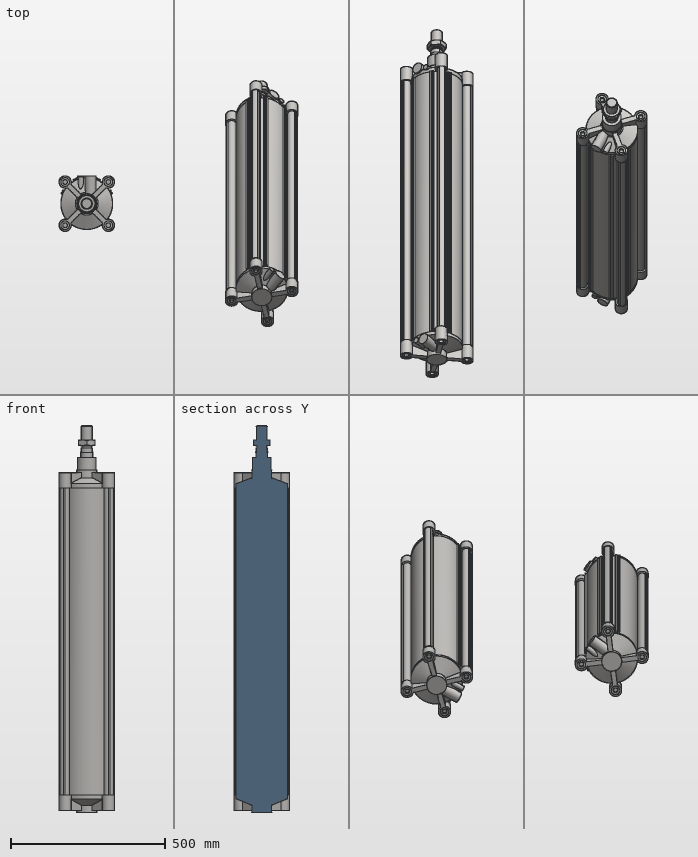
import cadquery as cq
import math


total_length = 1252
spigot_length = 6
thread_length = 72
rod_projection = 80
cap_length = 50
front_disc_thickness = 15
rear_disc_thickness = 12
front_cone_height = 17.5
rear_cone_height = 21

rear_face_z = spigot_length
shoulder_z = total_length - thread_length
front_face_z = shoulder_z - rod_projection

barrel_diameter = 167
disc_diameter = 168
tie_spacing = 140
post_diameter = 28.5
post_quarter_diameter = 36
post_reach_diameter = 39.5
post_lip_width = 5

rail_angle_from_diagonal = 19.5
rail_radius = 89.5
rail_embed = 8
rail_width = 14
rail_slot_width = 4
rail_slot_depth = 4

boss_diameter = 40
rib_width = 16
neck_diameter = 65
front_cone_top_diameter = 74
counterbore_diameter = 28
counterbore_depth = 3
screw_hole_diameter = 15
screw_hole_depth = 12
port_diameter = 36
port_offset = 12
port_end_y = 90
cushion_boss_diameter = 18
cushion_boss_offset = 19
cushion_boss_end_y = 87
cushion_boss_drop = 32

guide_length = 8
collar_diameter = 61
collar_length = 50
rod_diameter = 40
rod_tip_diameter = 39.5
rod_tip_length = 15
flat_width = 36
flat_length = 13
thread_diameter = 36
thread_core_diameter = 31.8
relief_length = 6
nut_width = 55
nut_height = 18
nut_face_diameter = 53
nut_bevel_height = 2.5
nut_offset = 8

half_spacing = tie_spacing / 2
corners = [
    (half_spacing, half_spacing),
    (-half_spacing, half_spacing),
    (-half_spacing, -half_spacing),
    (half_spacing, -half_spacing),
]


def cylinder(diameter, start_z, end_z):
    """Round bar on the cylinder axis between two heights."""
    return cq.Workplane("XY").workplane(offset=start_z).circle(diameter / 2).extrude(end_z - start_z)


def port_bar(diameter, x, z, end_y):
    """Round bar from the axis plane out to end_y on the +Y side."""
    return cq.Workplane("XZ", origin=(x, 0, z)).circle(diameter / 2).extrude(-end_y)


def make_cap(disc_thickness, cone_height, cone_top_diameter, neck_length):
    """Cap with its outer face at the local height cap_length, pointing up."""
    cone_top_z = disc_thickness + cone_height
    cap = (
        cq.Workplane("XZ")
        .polyline([
            (0, 0),
            (disc_diameter / 2, 0),
            (disc_diameter / 2, disc_thickness),
            (cone_top_diameter / 2, cone_top_z),
            (0, cone_top_z),
        ])
        .close()
        .revolve(360, (0, 0, 0), (0, 1, 0))
    )
    cap = cap.union(cylinder(neck_diameter, 0, cap_length + neck_length))
    rib = cq.Workplane("XY").rect(math.sqrt(2) * tie_spacing, rib_width).extrude(cap_length)
    for angle in (45, -45):
        cap = cap.union(rib.rotate((0, 0, 0), (0, 0, 1), angle))
    cap = cap.union(cq.Workplane("XY").pushPoints(corners).circle(boss_diameter / 2).extrude(cap_length))

    cap = cap.union(port_bar(port_diameter, port_offset, cap_length / 2, port_end_y))
    cushion_z = cap_length - cushion_boss_drop
    cap = cap.union(port_bar(cushion_boss_diameter, -cushion_boss_offset, cushion_z, cushion_boss_end_y))
    return (
        cap.copyWorkplane(cq.Workplane("XY").workplane(offset=cap_length))
        .pushPoints(corners)
        .cboreHole(screw_hole_diameter, counterbore_diameter, counterbore_depth, screw_hole_depth)
    )


def make_post(length):
    """Post on its own axis, with its thicker quarter and edge lips towards +X and +Y."""
    reach = post_reach_diameter / 2
    plane = cq.Workplane("XY")
    quarter_block = plane.rect(reach, reach, centered=False).extrude(length)
    thick_quarter = plane.circle(post_quarter_diameter / 2).extrude(length).intersect(quarter_block)
    post = plane.circle(post_diameter / 2).extrude(length).union(thick_quarter)
    post = post.union(plane.rect(reach, post_lip_width, centered=False).extrude(length))
    return post.union(plane.rect(post_lip_width, reach, centered=False).extrude(length))


def make_barrel():
    """Barrel with slotted sensor rails, and the four posts standing just clear of it."""
    start_z = rear_face_z + cap_length
    length = front_face_z - cap_length - start_z
    plane = cq.Workplane("XY").workplane(offset=start_z)
    barrel = plane.circle(barrel_diameter / 2).extrude(length)
    for quarter, (x, y) in enumerate(corners):
        post = make_post(length).rotate((0, 0, 0), (0, 0, 1), 90 * quarter)
        barrel = barrel.union(post.translate((x, y, start_z)))

    rail_root = barrel_diameter / 2 - rail_embed
    rail = (
        plane.center((rail_radius + rail_root) / 2, 0)
        .rect(rail_radius - rail_root, rail_width)
        .extrude(length)
    )
    slot = plane.center(rail_radius, 0).rect(2 * rail_slot_depth, rail_slot_width).extrude(length)
    rail = rail.cut(slot)
    for diagonal in (45, 135):
        for side in (-1, 1):
            angle = diagonal + side * rail_angle_from_diagonal
            barrel = barrel.union(rail.rotate((0, 0, 0), (0, 0, 1), angle))
    return barrel


def make_rod():
    """Front collar, piston rod with wrench flats, and threaded end."""
    rod = cylinder(collar_diameter, front_face_z, front_face_z + collar_length)
    tip_z = shoulder_z - rod_tip_length
    rod = rod.union(cylinder(rod_diameter, front_face_z, tip_z))

    tip = cylinder(rod_tip_diameter, tip_z, shoulder_z)
    flats = (
        cq.Workplane("XY")
        .workplane(offset=shoulder_z - flat_length)
        .rect(flat_width, rod_diameter)
        .extrude(flat_length)
    )
    below_flats = cylinder(rod_diameter, tip_z, shoulder_z - flat_length)
    rod = rod.union(tip.intersect(flats.union(below_flats)))

    thread_start_z = shoulder_z + relief_length
    thread_chamfer = (thread_diameter - thread_core_diameter) / 2
    rod = rod.union(cylinder(thread_core_diameter, shoulder_z, thread_start_z))
    thread = cylinder(thread_diameter, thread_start_z, total_length).faces(">Z").chamfer(thread_chamfer)
    return rod.union(thread)


def make_nut():
    """Hexagon nut with its flats facing +X and -X and its corners bevelled at both ends."""
    corner_diameter = nut_width / math.cos(math.pi / 6)
    bevel_reach = (corner_diameter - nut_face_diameter) / 2
    plane = cq.Workplane("XY").workplane(offset=shoulder_z + nut_offset)
    hexagon = plane.polygon(6, nut_width, circumscribed=True).extrude(nut_height)
    turned_blank = plane.circle(corner_diameter / 2).extrude(nut_height)
    lower_bevelled = turned_blank.faces("<Z").chamfer(nut_bevel_height, bevel_reach)
    return hexagon.intersect(lower_bevelled.faces(">Z").chamfer(nut_bevel_height, bevel_reach))


front_cap = (
    make_cap(front_disc_thickness, front_cone_height, front_cone_top_diameter, guide_length)
    .translate((0, 0, front_face_z - cap_length))
)
rear_cap = (
    make_cap(rear_disc_thickness, rear_cone_height, neck_diameter, spigot_length)
    .rotate((0, 0, 0), (0, 1, 0), 180)
    .translate((0, 0, rear_face_z + cap_length))
)

result = make_barrel().union(front_cap).union(rear_cap)
result = result.union(make_rod()).union(make_nut())